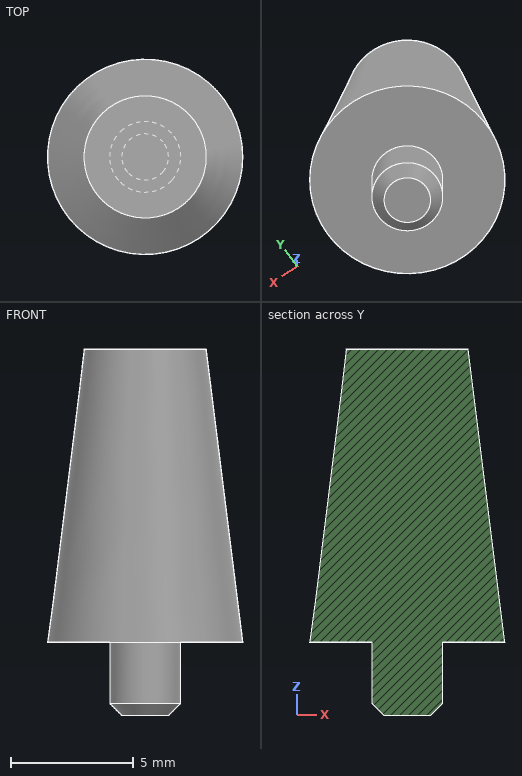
import cadquery as cq

body_base_diameter = 8.0
body_top_diameter = 5.0
body_height = 12.0

pin_diameter = 2.9
pin_length = 3.0
pin_chamfer = 0.5


def tapered_body():
    """Truncated cone from the base up to the flat top."""
    base_radius = body_base_diameter / 2
    top_radius = body_top_diameter / 2
    profile = [
        (0, 0),
        (base_radius, 0),
        (top_radius, body_height),
        (0, body_height),
    ]
    return cq.Workplane("XZ").polyline(profile).close().revolve(360, (0, 0), (0, 1))


def locating_pin():
    """Round pin hanging below the base, chamfered at its free end."""
    pin = cq.Workplane("XY").circle(pin_diameter / 2).extrude(-pin_length)
    return pin.faces("<Z").chamfer(pin_chamfer)


result = tapered_body().union(locating_pin())